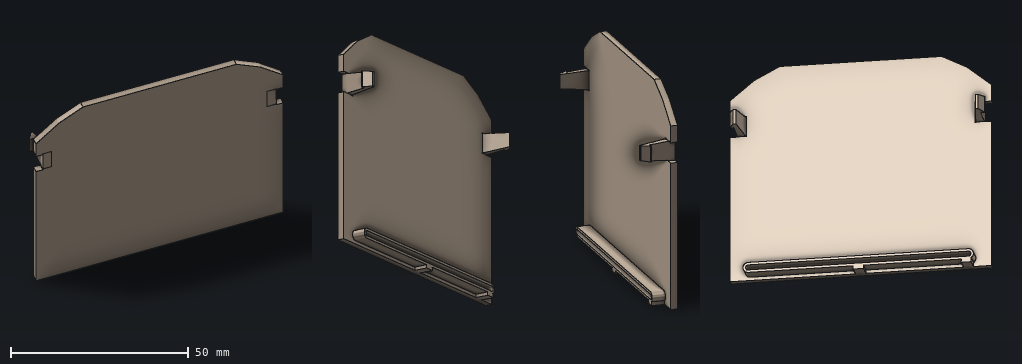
import cadquery as cq

PLATE_THICKNESS = 2.1
PLATE_WIDTH = 75.0
PLATE_HEIGHT = 64.0
SIDE_HEIGHT = 54.5
CORNER_BEND_Y = 30.5
CORNER_BEND_Z = 60.2
TOP_EDGE_WIDTH = 46.5

NOTCH_DEPTH = 4.8
NOTCH_HEIGHT = 6.0
NOTCH_CENTER_Z = 46.5

CLIP_REACH = 8.25
CLIP_TIP_HEIGHT = 4.3
CLIP_ROOT_LENGTH = 0.3
STEM_OUTER_Y = 35.4
BARB_OUTER_Y = 36.5
BARB_PEAK_X = -5.7
BARB_END_X = -5.4
BARB_ROOT_X = -5.55
TIP_OUTER_Y = 35.1
TIP_INNER_Y = 34.3
TIP_ROUNDING = 0.15

RAIL_DEPTH = 4.0
RAIL_LENGTH = 66.0
RAIL_HEIGHT = 3.0
RAIL_BOTTOM_Z = 1.0
RAIL_WALL = 0.75
GROOVE_DEPTH = RAIL_DEPTH - RAIL_WALL

FEET = [(0.0, 3.0), (-30.9, 2.85)]

rail_center_z = RAIL_BOTTOM_Z + RAIL_HEIGHT / 2
notch_floor_y = PLATE_WIDTH / 2 - NOTCH_DEPTH


def make_plate():
    half_width = PLATE_WIDTH / 2
    half_top = TOP_EDGE_WIDTH / 2
    plate = (
        cq.Workplane("YZ")
        .moveTo(-half_width, 0)
        .lineTo(half_width, 0)
        .lineTo(half_width, SIDE_HEIGHT)
        .lineTo(CORNER_BEND_Y, CORNER_BEND_Z)
        .lineTo(half_top, PLATE_HEIGHT)
        .lineTo(-half_top, PLATE_HEIGHT)
        .lineTo(-CORNER_BEND_Y, CORNER_BEND_Z)
        .lineTo(-half_width, SIDE_HEIGHT)
        .close()
        .extrude(PLATE_THICKNESS)
    )
    notches = (
        cq.Workplane("YZ")
        .pushPoints([(-half_width, NOTCH_CENTER_Z), (half_width, NOTCH_CENTER_Z)])
        .rect(2 * NOTCH_DEPTH, NOTCH_HEIGHT)
        .extrude(PLATE_THICKNESS)
    )
    return plate.cut(notches)


def make_clip():
    """Clip on the +Y side: barbed outline narrowing from its root to its tip."""
    tip_x = -CLIP_REACH
    taper_start_x = PLATE_THICKNESS - CLIP_ROOT_LENGTH
    tip_shoulder_x = tip_x + TIP_ROUNDING
    barbed = (
        cq.Workplane("XY")
        .workplane(offset=NOTCH_CENTER_Z - NOTCH_HEIGHT / 2)
        .moveTo(PLATE_THICKNESS, notch_floor_y)
        .lineTo(PLATE_THICKNESS, STEM_OUTER_Y)
        .lineTo(BARB_ROOT_X, STEM_OUTER_Y)
        .lineTo(BARB_END_X, BARB_OUTER_Y)
        .lineTo(BARB_PEAK_X, BARB_OUTER_Y)
        .lineTo(tip_shoulder_x, TIP_OUTER_Y)
        .threePointArc((tip_x, (TIP_OUTER_Y + TIP_INNER_Y) / 2), (tip_shoulder_x, TIP_INNER_Y))
        .lineTo(taper_start_x, notch_floor_y)
        .close()
        .extrude(NOTCH_HEIGHT)
    )
    half_root = NOTCH_HEIGHT / 2
    half_tip = CLIP_TIP_HEIGHT / 2
    side_taper = (
        cq.Workplane("XZ")
        .moveTo(PLATE_THICKNESS, NOTCH_CENTER_Z - half_root)
        .lineTo(PLATE_THICKNESS, NOTCH_CENTER_Z + half_root)
        .lineTo(taper_start_x, NOTCH_CENTER_Z + half_root)
        .lineTo(tip_x, NOTCH_CENTER_Z + half_tip)
        .lineTo(tip_x, NOTCH_CENTER_Z - half_tip)
        .lineTo(taper_start_x, NOTCH_CENTER_Z - half_root)
        .close()
        .extrude(-PLATE_WIDTH / 2)
    )
    return barbed.intersect(side_taper)


def make_rail():
    front = cq.Workplane("YZ", origin=(-RAIL_DEPTH, 0, rail_center_z))
    rail = front.slot2D(RAIL_LENGTH, RAIL_HEIGHT).extrude(RAIL_DEPTH)
    for center_y, width in FEET:
        foot = (
            cq.Workplane("XY")
            .box(RAIL_DEPTH, width, rail_center_z, centered=(False, True, False))
            .translate((-RAIL_DEPTH, center_y, 0))
        )
        rail = rail.union(foot)

    groove_width = RAIL_HEIGHT - 2 * RAIL_WALL
    groove_length = RAIL_LENGTH - 2 * RAIL_WALL
    groove_radius = groove_width / 2
    wall_depth = GROOVE_DEPTH - groove_radius
    groove = front.slot2D(groove_length, groove_width).extrude(wall_depth)

    straight_length = groove_length - groove_width
    floor_start = (wall_depth - RAIL_DEPTH, straight_length / 2, rail_center_z)
    floor = cq.Workplane("XZ", origin=floor_start).circle(groove_radius).extrude(straight_length)
    groove = groove.union(floor)
    for side in (-1, 1):
        end_center = (floor_start[0], side * straight_length / 2, rail_center_z)
        groove = groove.union(cq.Workplane("XY", origin=end_center).sphere(groove_radius))
    return rail.cut(groove)


clip = make_clip()
result = make_plate().union(make_rail()).union(clip).union(clip.mirror("XZ"))